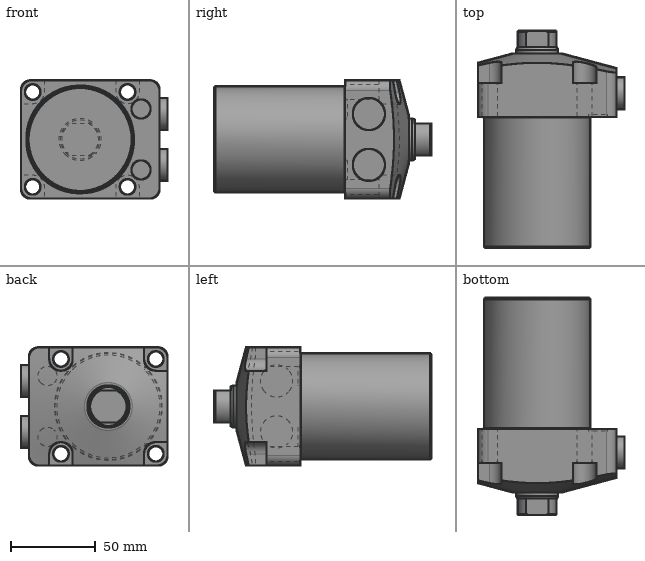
import cadquery as cq
import math


total_length = 128.5
total_width = 86.7

flange_height = 70.0
flange_half = flange_height / 2
flange_left = -flange_half
flange_right = 47.0
corner_radius = 6.0
dome_top = 37.7
dome_flat_radius = 14.1
dome_slope = math.radians(15)

barrel_length = 77.5
barrel_radius = 31.5
barrel_end_chamfer = 1.0
flare_radius = 31.9
flare_length = 0.4

hole_offset = 28.0
hole_diameter = 9.0
seat_radius = 7.0
seat_floor = 20.0

port_x = 36.0
port_z = 18.0
port_diameter = 11.3
port_depth = 1.4

rod_tip = total_length - barrel_length
rod_collar_radius = 12.5
rod_radius = 11.6
rod_collar_straight = 1.9
rod_collar_taper = 1.7
rod_tip_chamfer = 0.8
rod_across_flats = 19.0

plug_diameter = 19.0
plug_length = total_width + flange_left - flange_right
plug_y = 14.0
plug_z = 15.0


def along_y(start):
    """Workplane at Y = start that extrudes toward +Y, with local x = +Z and local y = +X."""
    return cq.Workplane(cq.Plane(origin=(0, start, 0), xDir=(0, 0, 1), normal=(0, 1, 0)))


def revolved(profile):
    """Solid of revolution about the Y axis from (radius, y) points."""
    return cq.Workplane("XY").polyline(profile).close().revolve(360, (0, 0, 0), (0, 1, 0))


def make_flange_block():
    """Rounded rectangular block whose top is trimmed to a shallow cone with a flat crown."""
    block = (
        along_y(0)
        .center(0, (flange_left + flange_right) / 2)
        .rect(flange_height, flange_right - flange_left)
        .extrude(dome_top)
        .edges("|Y")
        .fillet(corner_radius)
    )
    envelope_radius = math.hypot(flange_right, flange_half)
    rim_y = dome_top - (envelope_radius - dome_flat_radius) * math.tan(dome_slope)
    dome = revolved([
        (0, 0),
        (envelope_radius, 0),
        (envelope_radius, rim_y),
        (dome_flat_radius, dome_top),
        (0, dome_top),
    ])
    return block.intersect(dome)


def make_barrel():
    """Closed cylinder with a chamfered end and a slight flare where it meets the flange."""
    end_y = -barrel_length
    return revolved([
        (0, end_y),
        (barrel_radius - barrel_end_chamfer, end_y),
        (barrel_radius, end_y + barrel_end_chamfer),
        (barrel_radius, -flare_length),
        (flare_radius, 0),
        (0, 0),
    ])


def seat_box(z, x, z_size, x_size):
    """Rectangular pocket centred on (z, x), open through the dome."""
    return along_y(seat_floor).center(z, x).rect(z_size, x_size).extrude(dome_top)


def make_bolt_seat(x, side):
    """Round-ended slot around a bolt hole, open outward in Z; side is +1 or -1 along Z."""
    z = side * hole_offset
    reach = 2 * (flange_half - hole_offset)
    round_end = along_y(seat_floor).center(z, x).circle(seat_radius).extrude(dome_top)
    return round_end.union(seat_box(z + side * reach / 2, x, reach, 2 * seat_radius))


def make_corner_seat(x, side):
    """Bolt seat that also opens out through the -X side, removing the whole corner."""
    z = side * hole_offset
    reach = 2 * (flange_half - hole_offset)
    side_opening = seat_box(z, x - reach / 2, 2 * seat_radius, reach)
    corner = seat_box(z + side * reach / 2, x - reach / 2, reach, reach)
    return make_bolt_seat(x, side).union(side_opening).union(corner)


def cut_bolt_seats(body):
    for side in (-1, 1):
        body = body.cut(make_corner_seat(-hole_offset, side))
        body = body.cut(make_bolt_seat(hole_offset, side))
    return body


def make_housing():
    body = make_flange_block().union(make_barrel())
    body = cut_bolt_seats(body)
    bolt_points = [(z, x) for z in (-hole_offset, hole_offset) for x in (-hole_offset, hole_offset)]
    bolt_holes = along_y(0).pushPoints(bolt_points).circle(hole_diameter / 2).extrude(dome_top)
    port_points = [(-port_z, port_x), (port_z, port_x)]
    ports = along_y(0).pushPoints(port_points).circle(port_diameter / 2).extrude(port_depth)
    return body.cut(bolt_holes).cut(ports)


def make_rod():
    """Rod end standing on the crown: tapered collar below a round shank with two wrench flats."""
    taper_start = dome_top + rod_collar_straight
    shank_start = taper_start + rod_collar_taper
    rod = revolved([
        (0, dome_top),
        (rod_collar_radius, dome_top),
        (rod_collar_radius, taper_start),
        (rod_radius, shank_start),
        (rod_radius, rod_tip - rod_tip_chamfer),
        (rod_radius - rod_tip_chamfer, rod_tip),
        (0, rod_tip),
    ])
    shank_zone = along_y(shank_start).circle(rod_radius).extrude(rod_tip - shank_start)
    kept_zone = along_y(shank_start).rect(rod_across_flats, 2 * rod_radius).extrude(rod_tip - shank_start)
    return rod.cut(shank_zone.cut(kept_zone))


def make_plug(z):
    """Round port plug seated on the +X side of the flange."""
    plane = cq.Workplane("YZ", origin=(flange_right, plug_y, z))
    return plane.circle(plug_diameter / 2).extrude(plug_length)


housing = make_housing()
rod = make_rod()
plugs = [make_plug(z) for z in (-plug_z, plug_z)]

result = cq.Compound.makeCompound([housing.val(), rod.val(), *[plug.val() for plug in plugs]])